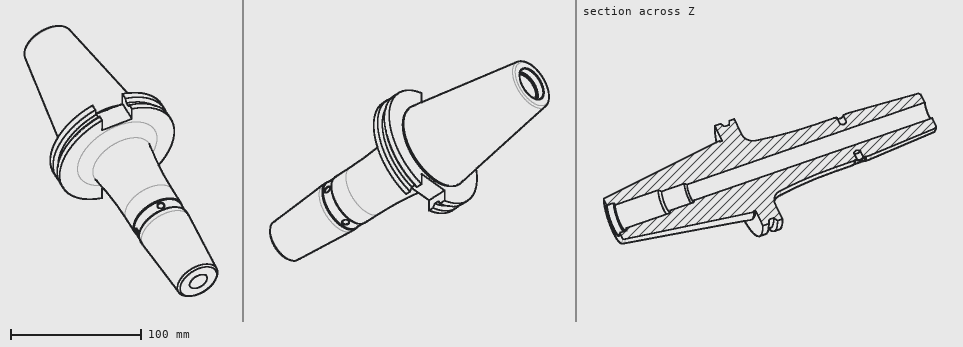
import cadquery as cq
import math

total_length = 261.5
taper_length = 102.0
taper_large_radius = 35.0
taper_slope = 7 / 48
taper_small_radius = taper_large_radius - taper_length * taper_slope
shank_edge_round = 1.5
neck_start = 102.8
neck_radius = 34.3

flange_start = 104.0
flange_end = 120.5
flange_radius = 49.2
groove_center = 112.7
groove_floor_width = 3.7
groove_depth = 3.5
groove_wall_angle = 27.0
slot_width = 25.6
upper_slot_floor = 35.3
lower_slot_floor = 37.0

root_end = 128.5
shoulder_radius = 24.9
body_start = 176.5
body_diameter = 42.0
body_radius = body_diameter / 2
nose_start = 204.8
nose_edge_radius = 17.3
nose_chamfer = 1.5

band_start = 191.5
band_end = 201.5
band_diameter = 41.3
band_radius = band_diameter / 2
band_wall = 0.8
screw_hole_diameter = 5.0
screw_countersink_diameter = 6.0
screw_hole_depth = 6.5
screw_hole_count = 4
drill_point_angle = 118.0

mouth_diameter = 26.5
mouth_depth = 6.3
mouth_chamfer = 0.5
mouth_floor_chamfer = 0.5
thread_diameter = 22.2
thread_end = 41.9
step_diameter = 18.0
step_end = 62.8
through_diameter = 15.0


def turned_body():
    groove_half_floor = groove_floor_width / 2
    groove_half_top = groove_half_floor + groove_depth * math.tan(math.radians(groove_wall_angle))
    groove_floor_radius = flange_radius - groove_depth

    curve_length = body_start - root_end
    curve_drop = shoulder_radius - body_radius
    curve_radius = (curve_length**2 + curve_drop**2) / (2 * curve_drop)
    curve_middle_x = body_start - curve_length / 2
    curve_middle_radius = body_radius + curve_radius - math.sqrt(curve_radius**2 - (curve_length / 2) ** 2)

    shoulder_angle = math.asin(curve_length / curve_radius)
    root_fillet = (root_end - flange_end) / (1 - math.sin(shoulder_angle))
    root_center_x = flange_end + root_fillet
    root_center_radius = shoulder_radius + root_fillet * math.cos(shoulder_angle)
    middle_angle = (math.pi / 2 - shoulder_angle) / 2
    root_middle = (
        root_center_x - root_fillet * math.cos(middle_angle),
        root_center_radius - root_fillet * math.sin(middle_angle),
    )

    profile = (
        cq.Workplane("XY")
        .lineTo(0, taper_small_radius)
        .lineTo(taper_length, taper_large_radius)
        .lineTo(neck_start, taper_large_radius)
        .lineTo(neck_start, neck_radius)
        .lineTo(flange_start, neck_radius)
        .lineTo(flange_start, flange_radius)
        .lineTo(groove_center - groove_half_top, flange_radius)
        .lineTo(groove_center - groove_half_floor, groove_floor_radius)
        .lineTo(groove_center + groove_half_floor, groove_floor_radius)
        .lineTo(groove_center + groove_half_top, flange_radius)
        .lineTo(flange_end, flange_radius)
        .lineTo(flange_end, root_center_radius)
        .threePointArc(root_middle, (root_end, shoulder_radius))
        .threePointArc((curve_middle_x, curve_middle_radius), (body_start, body_radius))
        .lineTo(band_start, body_radius)
        .lineTo(band_start + band_wall, band_radius)
        .lineTo(band_end - band_wall, band_radius)
        .lineTo(band_end, body_radius)
        .lineTo(nose_start, body_radius)
        .lineTo(total_length - nose_chamfer, nose_edge_radius)
        .lineTo(total_length, nose_edge_radius - nose_chamfer)
        .lineTo(total_length, 0)
        .close()
    )
    body = profile.revolve(360, (0, 0, 0), (1, 0, 0))
    return body.faces("<X").edges().fillet(shank_edge_round)


def drive_slot(floor_height, side):
    """Key slot across the flange; side is 1 for the top and -1 for the bottom."""
    slot_height = flange_radius - floor_height
    flange_width = flange_end - flange_start
    slot = cq.Workplane("XY").box(flange_width, slot_width, slot_height, centered=(False, True, True))
    return slot.translate((flange_start, 0, side * (floor_height + slot_height / 2)))


def axial_bore():
    mouth_radius = mouth_diameter / 2
    thread_radius = thread_diameter / 2
    step_radius = step_diameter / 2
    through_radius = through_diameter / 2
    outline = [
        (0, 0),
        (0, mouth_radius + mouth_chamfer),
        (mouth_chamfer, mouth_radius),
        (mouth_depth - mouth_floor_chamfer, mouth_radius),
        (mouth_depth, mouth_radius - mouth_floor_chamfer),
        (mouth_depth, thread_radius),
        (thread_end, thread_radius),
        (thread_end + thread_radius - step_radius, step_radius),
        (step_end, step_radius),
        (step_end + step_radius - through_radius, through_radius),
        (total_length, through_radius),
        (total_length, 0),
    ]
    return cq.Workplane("XY").polyline(outline).close().revolve(360, (0, 0, 0), (1, 0, 0))


def screw_hole():
    """Countersunk blind hole in the top of the band, with a conical drill point."""
    hole_radius = screw_hole_diameter / 2
    countersink_radius = screw_countersink_diameter / 2
    bottom = band_radius - screw_hole_depth
    point_depth = hole_radius / math.tan(math.radians(drill_point_angle / 2))
    outline = [
        (0, bottom - point_depth),
        (hole_radius, bottom),
        (hole_radius, band_radius - (countersink_radius - hole_radius)),
        (countersink_radius, band_radius),
        (countersink_radius, body_radius),
        (0, body_radius),
    ]
    cutter = cq.Workplane("XZ").polyline(outline).close().revolve(360, (0, 0, 0), (0, 1, 0))
    return cutter.translate(((band_start + band_end) / 2, 0, 0))


result = turned_body()
result = result.cut(drive_slot(upper_slot_floor, 1))
result = result.cut(drive_slot(lower_slot_floor, -1))
result = result.cut(axial_bore())
for index in range(screw_hole_count):
    angle = 360 / screw_hole_count * index
    result = result.cut(screw_hole().rotate((0, 0, 0), (1, 0, 0), angle))